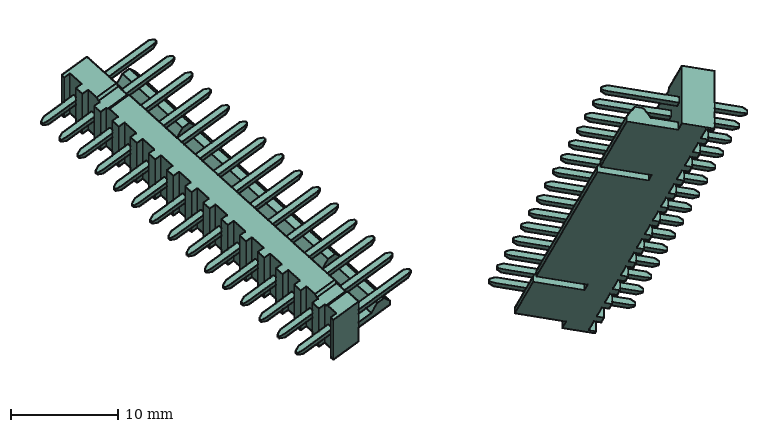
import cadquery as cq

pin_count = 15
pin_row_length = 35.55
pitch = pin_row_length / (pin_count - 1)
pin_size = 0.65
pin_tip_size = 0.3
pin_tip_length = 0.55
pin_front_reach = 3.53
pin_rear_reach = 7.5
pin_height = 3.1

housing_length = 37.95
housing_depth = 3.2
housing_height = 6.35
first_pin_x = (housing_length - pin_row_length) / 2

groove_width = 1.65
groove_depth = 0.72

notch_floor_width = 1.25
notch_depth = 0.25
notch_pin_gaps = (2, 14)

latch_length = 5.0
latch_thickness = 0.85
latch_end_height = 0.6
latch_crest_height = 1.75
latch_crest_start = 3.38
latch_crest_end = 4.25
latch_ramp_foot = 2.65
latch_gap_width = 1.0
latch_pin_gaps = (4, 12)



def pin_x(number):
    """X of a pin centre; half numbers fall midway between two pins."""
    return first_pin_x + (number - 1) * pitch


def make_housing():
    housing = cq.Workplane("XY").box(housing_length, housing_depth, housing_height, centered=False)
    for number in range(1, pin_count + 1):
        groove = cq.Workplane("XY").box(
            groove_width, groove_depth, housing_height, centered=(True, False, False)
        )
        housing = housing.cut(groove.translate((pin_x(number), 0, 0)))
    for gap in notch_pin_gaps:
        housing = housing.cut(make_notch(pin_x(gap + 0.5)))
    return housing


def make_notch(center_x):
    """Notch with a flat floor and sides sloping at 45 degrees."""
    half_floor = notch_floor_width / 2
    half_mouth = half_floor + notch_depth
    floor_z = housing_height - notch_depth
    profile = [
        (center_x - half_mouth, housing_height),
        (center_x - half_floor, floor_z),
        (center_x + half_floor, floor_z),
        (center_x + half_mouth, housing_height),
    ]
    return cq.Workplane("XZ").polyline(profile).close().extrude(-housing_depth)


def make_latch():
    """Hooked wall from the first pin to the last, with gaps between its tongues."""
    profile = [
        (0, 0),
        (latch_length, 0),
        (latch_length, latch_end_height),
        (latch_crest_end, latch_crest_height),
        (latch_crest_start, latch_crest_height),
        (latch_ramp_foot, latch_thickness),
        (0, latch_thickness),
    ]
    latch = cq.Workplane("YZ").polyline(profile).close().extrude(pin_row_length)
    latch = latch.translate((pin_x(1), housing_depth, 0))
    for gap in latch_pin_gaps:
        opening = cq.Workplane("XY").box(
            latch_gap_width, latch_length, latch_crest_height, centered=(True, False, False)
        )
        latch = latch.cut(opening.translate((pin_x(gap + 0.5), housing_depth, 0)))
    return latch


def make_tip():
    """Tapered pin end, its wide face at the origin and pointing to -Y."""
    return (
        cq.Workplane("XZ")
        .rect(pin_size, pin_size)
        .workplane(offset=pin_tip_length)
        .rect(pin_tip_size, pin_tip_size)
        .loft()
    )


def make_pin():
    shank_front = pin_tip_length - pin_front_reach
    shank_rear = housing_depth + pin_rear_reach - pin_tip_length
    shank = cq.Workplane("XY").box(
        pin_size, shank_rear - shank_front, pin_size, centered=(True, False, True)
    )
    front_tip = make_tip().translate((0, shank_front, 0))
    rear_tip = make_tip().mirror("XZ").translate((0, shank_rear, 0))
    return shank.translate((0, shank_front, 0)).union(front_tip).union(rear_tip)


result = make_housing().union(make_latch())
pin = make_pin()
for pin_number in range(1, pin_count + 1):
    result = result.union(pin.translate((pin_x(pin_number), 0, pin_height)))